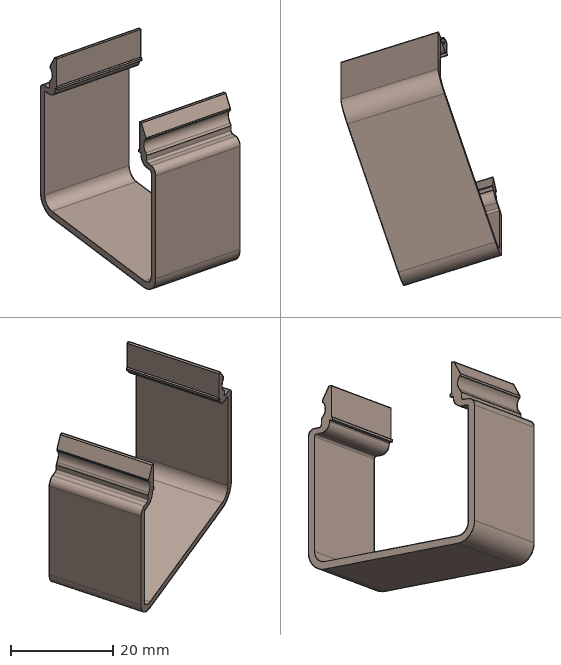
import cadquery as cq

width = 40.0
depth = 20.0
height = 37.0

wall = 1.5
bottom_outer_radius = 4.0
bottom_inner_radius = bottom_outer_radius - wall

shelf_top = height - 8.05
shelf_thickness = 1.2
shelf_bottom = shelf_top - shelf_thickness
shoulder_outer_radius = 1.5
shoulder_inner_radius = 0.5

neck_outer_inset = 3.1
neck_inner_inset = 5.1
neck_outer_radius = 0.5
neck_inner_radius = 2.0

finger_inner_inset = 5.55
tip_width = 0.6
barb_inset = 3.4
barb_top = height - 2.65
barb_bottom = height - 3.1
groove_start_inset = 3.5
groove_deep_inset = 4.1
groove_end_inset = 3.45
groove_middle = height - 4.5
groove_end = height - 6.0
neck_chamfer_bottom = height - 6.5

lip_inset = 5.9
lip_bottom = height - 6.95
lip_top = height - 6.5
lip_slope = 0.15


def side_x(inset):
    """X coordinate of a point set in from the left side face."""
    return inset - width / 2


def make_box(left_inset, right_inset, bottom, top):
    """Full-depth box on the left half of the part."""
    return (
        cq.Workplane("XZ")
        .moveTo((side_x(left_inset) + side_x(right_inset)) / 2, (bottom + top) / 2)
        .rect(right_inset - left_inset, top - bottom)
        .extrude(depth / 2, both=True)
    )


def round_edge(body, inset, z, radius):
    """Fillet the Y-direction edge at the given profile corner."""
    corner = cq.selectors.NearestToPointSelector((side_x(inset), 0, z))
    return body.edges("|Y").edges(corner).fillet(radius)


def make_half_channel():
    """Left wall, half of the floor, shelf and neck, with rounded bends."""
    floor = make_box(0, width / 2, 0, wall)
    side_wall = make_box(0, wall, 0, shelf_top)
    shelf = make_box(0, neck_inner_inset, shelf_bottom, shelf_top)
    neck = make_box(neck_outer_inset, neck_inner_inset, shelf_bottom, lip_bottom)
    body = floor.union(side_wall).union(shelf).union(neck).clean()

    body = round_edge(body, 0, 0, bottom_outer_radius)
    body = round_edge(body, wall, wall, bottom_inner_radius)
    body = round_edge(body, 0, shelf_top, shoulder_outer_radius)
    body = round_edge(body, wall, shelf_bottom, shoulder_inner_radius)
    body = round_edge(body, neck_outer_inset, shelf_top, neck_outer_radius)
    return round_edge(body, neck_inner_inset, shelf_bottom, neck_inner_radius)


def make_finger():
    """Snap finger with a pointed barb, a round groove and an inward lip."""
    return (
        cq.Workplane("XZ")
        .moveTo(side_x(neck_outer_inset), lip_bottom)
        .lineTo(side_x(neck_outer_inset), neck_chamfer_bottom)
        .lineTo(side_x(groove_end_inset), groove_end)
        .threePointArc(
            (side_x(groove_deep_inset), groove_middle),
            (side_x(groove_start_inset), barb_bottom),
        )
        .lineTo(side_x(barb_inset), barb_bottom)
        .lineTo(side_x(barb_inset), barb_top)
        .lineTo(side_x(finger_inner_inset - tip_width), height)
        .lineTo(side_x(finger_inner_inset), height)
        .lineTo(side_x(finger_inner_inset), lip_top + lip_slope)
        .lineTo(side_x(lip_inset), lip_top)
        .lineTo(side_x(lip_inset), lip_bottom)
        .close()
        .extrude(depth / 2, both=True)
    )


left_half = make_half_channel().union(make_finger())
right_half = left_half.mirror("YZ")
result = left_half.union(right_half).clean()